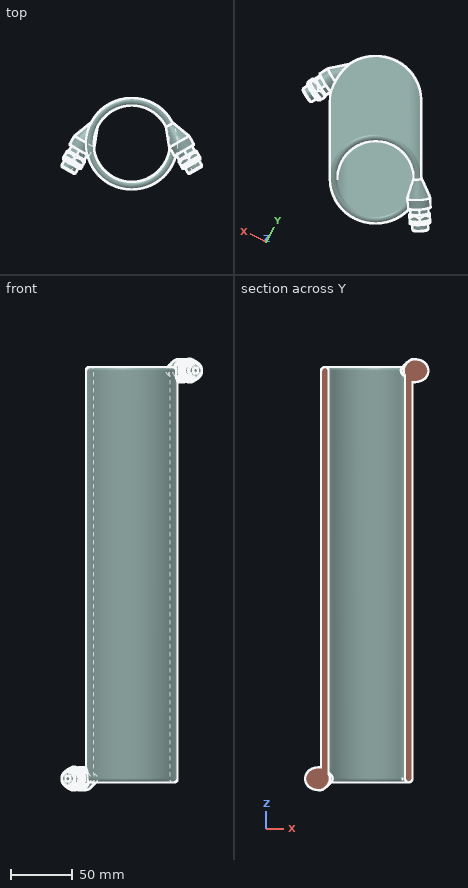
import cadquery as cq
import math

sleeve_diameter = 75.0
bore_diameter = 62.28
sleeve_length = 340.0
wall = (sleeve_diameter - bore_diameter) / 2
rim_radius = wall / 2
wall_center_radius = bore_diameter / 2 + rim_radius
rim_center_z = sleeve_length / 2 - rim_radius

tangent_angle = 30.0

cone_start = 2.2
cone_end = 18.0
body_end = 26.1
neck_end = 30.8
nut_end = 36.2
gasket_end = 36.8
flange_end = 39.2
connector_length = 44.94

cone_start_diameter = 7.0
body_diameter = 19.0
neck_across_flats = 15.0
nut_across_flats = 17.0
nut_face_diameter = 15.6
nut_taper_length = 2.8
flange_face_diameter = 16.0
flange_taper_length = 2.3
gasket_diameter = 16.8
tip_diameter = 13.16
tip_chamfer = 0.8
tip_bore_diameter = 4.76
tip_bore_depth = 10.0


def make_sleeve():
    """Revolve the wall section, whose two ends are half circles."""
    inner = bore_diameter / 2
    outer = sleeve_diameter / 2
    return (
        cq.Workplane("XZ")
        .moveTo(inner, -rim_center_z)
        .threePointArc((wall_center_radius, -sleeve_length / 2), (outer, -rim_center_z))
        .lineTo(outer, rim_center_z)
        .threePointArc((wall_center_radius, sleeve_length / 2), (inner, rim_center_z))
        .close()
        .revolve(360, (0, 0, 0), (0, 1, 0))
    )


def across_corners(across_flats):
    """Corner-to-corner width of a regular hexagon."""
    return across_flats / math.cos(math.pi / 6)


def round_section(diameter, start, end):
    return cq.Workplane("XY").workplane(offset=start).circle(diameter / 2).extrude(end - start)


def hex_section(across_flats, start, end):
    """Hexagonal prism with two corners on the local X axis."""
    return (
        cq.Workplane("XY")
        .workplane(offset=start)
        .polygon(6, across_corners(across_flats))
        .extrude(end - start)
    )


def make_cone():
    """Tapered strain relief running from about the wall thickness up to the body."""
    return (
        cq.Workplane("XZ")
        .moveTo(0, cone_start)
        .lineTo(cone_start_diameter / 2, cone_start)
        .lineTo(body_diameter / 2, cone_end)
        .lineTo(0, cone_end)
        .close()
        .revolve(360, (0, 0, 0), (0, 1, 0))
    )


def nut_section(start, end, turned_face, face_diameter, taper_length):
    """Nut hexagon with its corners turned down to a circle at one end face."""
    corner_diameter = across_corners(nut_across_flats)
    corner_height = (corner_diameter - face_diameter) / 2
    blank = (
        round_section(corner_diameter, start, end)
        .faces(turned_face)
        .chamfer(taper_length, corner_height)
    )
    return hex_section(nut_across_flats, start, end).intersect(blank)


def make_connector():
    """Connector along local +Z, starting at the tangent point on the rim."""
    tip = round_section(tip_diameter, flange_end, connector_length).faces(">Z").chamfer(tip_chamfer)
    tip_bore = round_section(
        tip_bore_diameter, connector_length - tip_bore_depth, connector_length
    )
    return (
        make_cone()
        .union(round_section(body_diameter, cone_end, body_end))
        .union(hex_section(neck_across_flats, body_end, neck_end))
        .union(nut_section(neck_end, nut_end, "<Z", nut_face_diameter, nut_taper_length))
        .union(round_section(gasket_diameter, nut_end, gasket_end))
        .union(nut_section(gasket_end, flange_end, ">Z", flange_face_diameter, flange_taper_length))
        .union(tip)
        .cut(tip_bore)
    )


def place_top_connector(connector):
    """Lay the connector along the clockwise tangent of the top rim."""
    angle = math.radians(tangent_angle)
    tangent_plane = cq.Plane(
        origin=(
            wall_center_radius * math.cos(angle),
            wall_center_radius * math.sin(angle),
            rim_center_z,
        ),
        xDir=(0, 0, 1),
        normal=(math.sin(angle), -math.cos(angle), 0),
    )
    return cq.Workplane(connector.val().moved(cq.Location(tangent_plane)))


top_connector = place_top_connector(make_connector())
bottom_connector = top_connector.rotate((0, 0, 0), (0, 1, 0), 180)

result = make_sleeve().union(top_connector).union(bottom_connector)